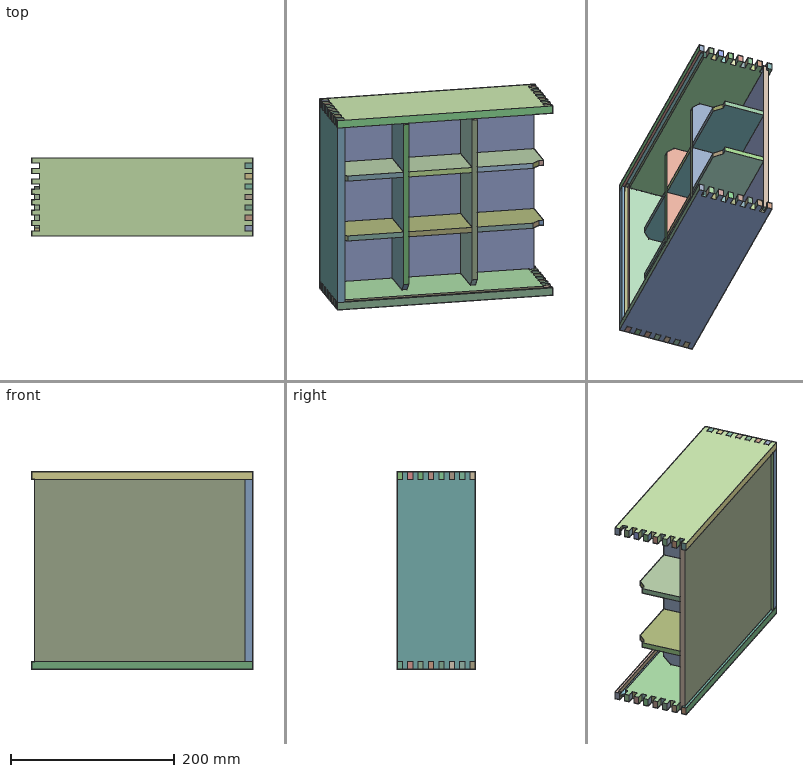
import cadquery as cq

LENGTH = 270.0
DEPTH = 95.3
HEIGHT = 241.3

BOARD = 9.5
SHEET = 6.5

FINGER_DIVISIONS = 15
FINGER_WIDTH = DEPTH / FINGER_DIVISIONS

GROOVE_FLOOR = 3.2
PANEL_RECESS = 3.2
SHEET_LENGTH = LENGTH - 2 * GROOVE_FLOOR
SHEET_HEIGHT = HEIGHT - 2 * GROOVE_FLOOR

INSIDE_LENGTH = LENGTH - 2 * BOARD
INSIDE_HEIGHT = HEIGHT - 2 * BOARD
INNER_FRONT = PANEL_RECESS + SHEET
BACK_SPACE = 25.5
INNER_BACK = DEPTH - BACK_SPACE
INNER_DEPTH = INNER_BACK - INNER_FRONT
CORNER_CUT = 9.5
SHELF_COUNT = 2
DIVIDER_COUNT = 2
LAP_DEPTH = INNER_DEPTH / 2


def even_positions(inside, count):
    """Near faces of sheets that split an inside length into equal compartments."""
    compartment = (inside - count * SHEET) / (count + 1)
    return [BOARD + compartment + i * (compartment + SHEET) for i in range(count)]


SHELF_LEVELS = even_positions(INSIDE_HEIGHT, SHELF_COUNT)
DIVIDER_PLACES = even_positions(INSIDE_LENGTH, DIVIDER_COUNT)


def box(x, y, z, dx, dy, dz):
    """Box with its lower left front corner at (x, y, z)."""
    return cq.Workplane("XY").box(dx, dy, dz, centered=False).translate((x, y, z))


def finger_row(x, z):
    """Blocks at every second finger division, as wide and tall as a board."""
    row = cq.Workplane("XY")
    for i in range(1, FINGER_DIVISIONS, 2):
        row = row.add(box(x, i * FINGER_WIDTH, z, BOARD, FINGER_WIDTH, BOARD))
    return row.combine()


def tabbed_outline(plane, span):
    """Shelf or divider outline: narrow end tabs, with corner cuts up to the full depth.

    The first coordinate runs along the span, the second along Y.
    """
    tab_back = INNER_BACK - CORNER_CUT
    start = GROOVE_FLOOR
    end = span - GROOVE_FLOOR
    return cq.Workplane(plane).polyline([
        (start, INNER_FRONT),
        (end, INNER_FRONT),
        (end, tab_back),
        (span - BOARD, tab_back),
        (span - BOARD - CORNER_CUT, INNER_BACK),
        (BOARD + CORNER_CUT, INNER_BACK),
        (BOARD, tab_back),
        (start, tab_back),
    ]).close()


def panel_block(y):
    """Block the size of a full panel, grooved into the boards all round."""
    return box(GROOVE_FLOOR, y, GROOVE_FLOOR, SHEET_LENGTH, SHEET, SHEET_HEIGHT)


def make_shelf(z):
    """Horizontal shelf, notched from the rear to lap over the dividers."""
    shelf = tabbed_outline("XY", LENGTH).extrude(SHEET).translate((0, 0, z))
    for x in DIVIDER_PLACES:
        shelf = shelf.cut(box(x, INNER_BACK - LAP_DEPTH, z, SHEET, LAP_DEPTH, SHEET))
    return shelf.solids()


def make_divider(x):
    """Upright divider across the cabinet, notched from the front for each shelf."""
    upright_plane = cq.Plane(origin=(x + SHEET, 0, 0), xDir=(0, 0, 1), normal=(-1, 0, 0))
    divider = tabbed_outline(upright_plane, HEIGHT).extrude(SHEET)
    for z in SHELF_LEVELS:
        divider = divider.cut(box(x, INNER_FRONT, z, SHEET, LAP_DEPTH, SHEET))
    return divider.solids()


def cut_grooves(board, sheets):
    """Cut the stopped grooves that take the sheets' edges."""
    for sheet in sheets:
        board = board.cut(sheet)
    return board.solids()


def make_board(z, sheets):
    """Top or bottom board with finger gaps at both ends and grooves for the sheets."""
    board = box(0, 0, z, LENGTH, DEPTH, BOARD)
    for x in (0, LENGTH - BOARD):
        board = board.cut(finger_row(x, z))
    return cut_grooves(board, sheets)


def make_end_board(sheets):
    """End board whose fingers fill the gaps of the top and bottom boards."""
    x = LENGTH - BOARD
    end = box(x, 0, BOARD, BOARD, DEPTH, INSIDE_HEIGHT)
    for z in (0, HEIGHT - BOARD):
        end = end.union(finger_row(x, z))
    return cut_grooves(end, sheets)


front_panel = panel_block(PANEL_RECESS)
shelves = [make_shelf(z) for z in SHELF_LEVELS]
dividers = [make_divider(x) for x in DIVIDER_PLACES]

back_panel_space = panel_block(DEPTH - PANEL_RECESS - SHEET)
panel_spaces = [front_panel, back_panel_space]

bottom_board = make_board(0, [*panel_spaces, *dividers])
top_board = make_board(HEIGHT - BOARD, [*panel_spaces, *dividers])
end_board = make_end_board([*panel_spaces, *shelves])

result = cq.Compound.makeCompound([
    bottom_board.val(),
    top_board.val(),
    end_board.val(),
    front_panel.val(),
    *[shelf.val() for shelf in shelves],
    *[divider.val() for divider in dividers],
])